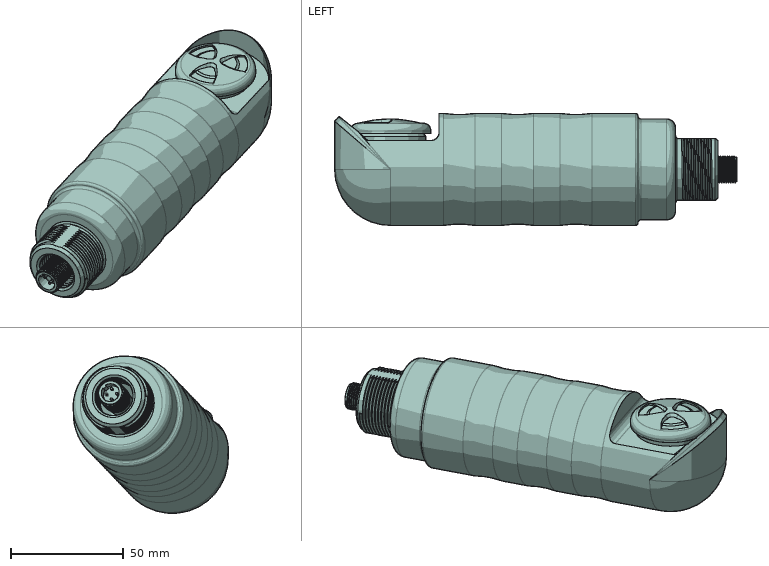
import cadquery as cq
import math

overall_length = 179.1
body_radius = 24.98
connector_end = body_radius - overall_length

grip_count = 3
grip_start = -23.5
grip_pitch = 26.0
grip_width = 14.1
grip_depth = 0.5
body_end = -108.9
shoulder_radius = 1.3
collar_radius = body_radius - 2 * shoulder_radius
collar_end = -126.8
collar_fillet = 4.0

crown_bevel_slope = 0.86
scoop_radius = 24.4
scoop_center = -1.5
seat_height = 12.9
seat_wall = -21.5
seat_fillet = 3.5

tube_end = -145.8
tube_root_radius = 14.0
tube_crest_radius = 14.95
tube_pitch = 1.5
tube_flat_distance = 13.75
tube_flare_length = 0.5
tube_end_bevel = 1.35
tube_thread_start = -143.1
tube_thread_length = 13.6
bore_radius = 8.6
bore_mouth_radius = 9.7
bore_mouth_length = 0.7
bore_thread_radius = 9.5
bore_thread_length = 9.9
bore_pitch = 1.8
bore_length = 14.3
bore_floor_length = 3.5

thread_base_share = 0.9
thread_embed = 0.05

plug_root_radius = 5.46
plug_crest_radius = 6.0
plug_pitch = 1.0
plug_thread_length = 16.1
plug_tip_bevel = 0.7
socket_radius = 4.03
socket_depth = 5.4
pin_count = 4
pin_radius = 0.5
pin_circle_radius = 2.44
pin_length = 2.7
key_width = 1.6
key_reach = 0.7
key_angle = 45.0

button_radius = 17.9
button_rim_bottom = 16.0
button_rim_top = 17.0
button_dome_radius = 15.5
button_dome_edge = 20.5
button_top = 22.48
button_shoulder_bulge = 0.5
neck_radius = 15.67
neck_height = 1.8
neck_top_radius = 14.9

window_count = 3
window_first_angle = -90.0
window_half_angle = 25.0
window_outer_radius = 14.3
window_inner_radius = 3.0
window_tip_half_width = 2.0
window_tip_length = 1.5
window_side_point = (7.5, 4.3)
window_wall_draft = 35.0
window_floor = 21.0
window_step_top_radius = 9.5
window_step_bottom_radius = 10.5
window_step_height = 0.5
window_floor_edge = 19.7


def ring_body(profile):
    """Solid of revolution about Y from an (radius, y) sketch."""
    return profile.close().revolve(360, (0, 0, 0), (0, 1, 0))


def helical_thread(base_radius, tip_radius, pitch, length, start):
    """Triangular thread wound about Y, from `start` towards +Y; ridge or groove by radii."""
    outward = math.copysign(1.8, tip_radius - base_radius)
    root = base_radius - thread_embed * outward
    half_width = thread_base_share * pitch / 2
    path = cq.Wire.makeHelix(pitch, length, base_radius)
    thread = (
        cq.Workplane("XZ")
        .polyline([(root, -half_width), (tip_radius, 0), (root, half_width)])
        .close()
        .sweep(cq.Workplane(path), isFrenet=True)
    )
    return thread.rotate((0, 0, 0), (1, 0, 0), -90).translate((0, start, 0))


def make_barrel():
    profile = cq.Workplane("XY").moveTo(0, 0).lineTo(body_radius, 0)
    for index in range(grip_count):
        start = grip_start - index * grip_pitch
        end = start - grip_width
        profile = profile.lineTo(body_radius, start).threePointArc(
            (body_radius - grip_depth, (start + end) / 2), (body_radius, end)
        )
    bulge = shoulder_radius * math.sqrt(0.5)
    shoulder_mid = body_end - shoulder_radius
    shoulder_end = body_end - 2 * shoulder_radius
    profile = (
        profile.lineTo(body_radius, body_end)
        .threePointArc(
            (body_radius - shoulder_radius + bulge, body_end - bulge),
            (body_radius - shoulder_radius, shoulder_mid),
        )
        .threePointArc(
            (collar_radius + shoulder_radius - bulge, shoulder_end + bulge),
            (collar_radius, shoulder_end),
        )
        .lineTo(collar_radius, collar_end)
        .lineTo(0, collar_end)
    )
    return ring_body(profile).faces("<Y").edges().fillet(collar_fillet)


def make_head():
    size = 2 * body_radius
    lower_half = (
        cq.Workplane("XY")
        .box(size, body_radius, body_radius, centered=(True, False, False))
        .translate((0, 0, -body_radius))
    )
    lower = cq.Workplane("XY").sphere(body_radius).intersect(lower_half)
    crown = cq.Workplane("XY").circle(body_radius).extrude(body_radius)
    crown = crown.intersect(cq.Workplane("XZ").circle(body_radius).extrude(-body_radius))
    bevel_reach = (1 + crown_bevel_slope) * body_radius / math.sqrt(2)
    bevel_plane = cq.Plane(origin=(0, 0, 0), xDir=(1, 0, 0), normal=(0, -1, 1))
    crown = crown.intersect(cq.Workplane(bevel_plane).ellipse(body_radius, bevel_reach).extrude(size, both=True))
    return lower.union(crown)


def make_seat_cutter():
    cutter = (
        cq.Workplane("XY", origin=(0, 0, seat_height))
        .moveTo(-scoop_radius, seat_wall)
        .lineTo(scoop_radius, seat_wall)
        .lineTo(scoop_radius, scoop_center)
        .threePointArc((0, scoop_center + scoop_radius), (-scoop_radius, scoop_center))
        .close()
        .extrude(body_radius)
    )
    return cutter.faces("<Y").edges("<Z").fillet(seat_fillet)


def make_tube():
    bore_end = tube_end + bore_length
    profile = (
        cq.Workplane("XY")
        .moveTo(plug_root_radius, collar_end)
        .lineTo(tube_root_radius, collar_end)
        .lineTo(tube_root_radius, tube_end + tube_end_bevel)
        .lineTo(tube_root_radius - tube_end_bevel, tube_end)
        .lineTo(bore_mouth_radius, tube_end)
        .lineTo(bore_radius, tube_end + bore_mouth_length)
        .lineTo(bore_radius, bore_end)
        .lineTo(plug_root_radius, bore_end + bore_floor_length)
        .lineTo(plug_root_radius, collar_end)
    )
    tube = ring_body(profile)
    tube = tube.union(
        helical_thread(tube_root_radius, tube_crest_radius, tube_pitch, tube_thread_length, tube_thread_start)
    )
    tube = tube.cut(
        helical_thread(
            bore_radius, bore_thread_radius, bore_pitch, bore_thread_length, tube_end + bore_pitch
        )
    )
    flats = cq.Workplane("XY").box(
        2 * body_radius, collar_end - tube_end, 2 * tube_flat_distance
    ).translate((0, (collar_end + tube_end) / 2, 0))
    flare = ring_body(
        cq.Workplane("XY")
        .moveTo(plug_crest_radius, collar_end)
        .lineTo(tube_crest_radius, collar_end)
        .lineTo(tube_root_radius, collar_end - tube_flare_length)
        .lineTo(plug_crest_radius, collar_end - tube_flare_length)
    )
    return tube.intersect(flats).union(flare)


def make_plug():
    profile = (
        cq.Workplane("XY")
        .moveTo(0, collar_end)
        .lineTo(plug_root_radius, collar_end)
        .lineTo(plug_root_radius, connector_end)
        .lineTo(0, connector_end)
    )
    plug = ring_body(profile)
    plug = plug.union(
        helical_thread(
            plug_root_radius, plug_crest_radius, plug_pitch, plug_thread_length, connector_end + plug_pitch / 2
        )
    )
    envelope = (
        cq.Workplane("XY")
        .moveTo(0, collar_end)
        .lineTo(body_radius, collar_end)
        .lineTo(plug_crest_radius, connector_end + plug_tip_bevel)
        .lineTo(plug_crest_radius - plug_tip_bevel, connector_end)
        .lineTo(0, connector_end)
    )
    plug = plug.intersect(ring_body(envelope))

    floor_y = connector_end + socket_depth
    socket = cq.Workplane("XZ", origin=(0, floor_y, 0)).circle(socket_radius).extrude(socket_depth)
    key = (
        cq.Workplane("XZ", origin=(0, floor_y, 0))
        .rect(key_width, 2 * key_reach)
        .extrude(socket_depth)
        .translate((0, 0, socket_radius))
        .rotate((0, 0, 0), (0, 1, 0), -key_angle)
    )
    pins = (
        cq.Workplane("XZ", origin=(0, floor_y, 0))
        .polarArray(pin_circle_radius, 0, 360, pin_count)
        .circle(pin_radius)
        .extrude(pin_length)
    )
    return plug.cut(socket.cut(key).cut(pins))


def make_housing():
    housing = make_barrel().union(make_head()).cut(make_seat_cutter())
    return housing.union(make_tube()).union(make_plug())


def make_button_blank():
    shoulder_mid = (
        (button_radius + button_dome_radius) / 2 + button_shoulder_bulge,
        (button_rim_top + button_dome_edge) / 2 + button_shoulder_bulge,
    )
    dome_rise = button_top - button_dome_edge
    dome_arc_radius = (button_dome_radius**2 + dome_rise**2) / (2 * dome_rise)
    dome_mid_radius = button_dome_radius / 2
    dome_mid_drop = dome_arc_radius - math.sqrt(dome_arc_radius**2 - dome_mid_radius**2)
    dome_mid = (dome_mid_radius, button_top - dome_mid_drop)
    return (
        cq.Workplane("XZ")
        .moveTo(0, seat_height)
        .lineTo(neck_radius, seat_height)
        .lineTo(neck_radius, seat_height + neck_height)
        .lineTo(neck_top_radius, button_rim_bottom)
        .lineTo(button_radius, button_rim_bottom)
        .lineTo(button_radius, button_rim_top)
        .threePointArc(shoulder_mid, (button_dome_radius, button_dome_edge))
        .threePointArc(dome_mid, (0, button_top))
        .close()
        .revolve(360, (0, 0, 0), (0, 1, 0))
    )


def window_outline():
    """Rounded wedge along +X, at floor height."""
    half_angle = math.radians(window_half_angle)
    corner_x = window_outer_radius * math.cos(half_angle)
    corner_y = window_outer_radius * math.sin(half_angle)
    side_x, side_y = window_side_point
    tip_x = window_inner_radius
    tip_end = tip_x + window_tip_length
    tip_y = window_tip_half_width
    return (
        cq.Workplane("XY", origin=(0, 0, window_floor))
        .moveTo(tip_end, tip_y)
        .threePointArc((side_x, side_y), (corner_x, corner_y))
        .threePointArc((window_outer_radius, 0), (corner_x, -corner_y))
        .threePointArc((side_x, -side_y), (tip_end, -tip_y))
        .threePointArc((tip_x, 0), (tip_end, tip_y))
        .close()
    )


def make_window_cutter():
    """Window with flared walls, ending on a flat inner floor and a lower, sloping outer floor."""
    mouth = window_outline().extrude(button_top - window_floor, taper=-window_wall_draft)
    well = window_outline().extrude(window_floor_edge - window_floor)
    wedge = mouth.union(well)
    above_floor = (
        cq.Workplane("XZ")
        .moveTo(0, window_floor)
        .lineTo(window_step_top_radius, window_floor)
        .lineTo(window_step_bottom_radius, window_floor - window_step_height)
        .lineTo(button_dome_radius, window_floor_edge)
        .lineTo(button_dome_radius, button_top)
        .lineTo(0, button_top)
        .close()
        .revolve(360, (0, 0, 0), (0, 1, 0))
    )
    return wedge.intersect(above_floor)


def make_button():
    button = make_button_blank()
    cutter = make_window_cutter()
    for index in range(window_count):
        angle = window_first_angle + index * 360 / window_count
        button = button.cut(cutter.rotate((0, 0, 0), (0, 0, 1), angle))
    return button


housing = make_housing()
button = make_button()
result = cq.Compound.makeCompound([housing.val(), button.val()])